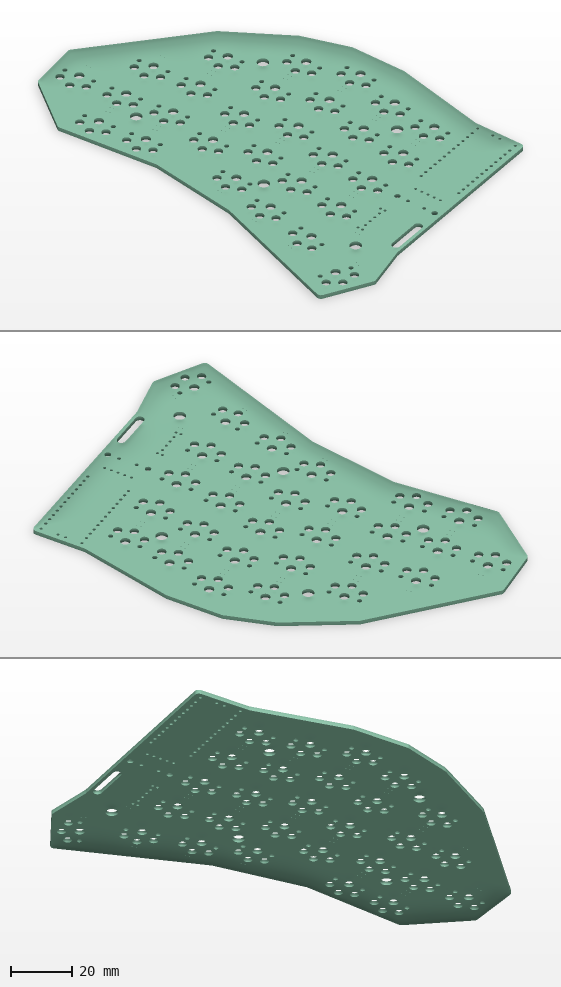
import cadquery as cq
import math


length = 152.4
width = 111.0
thickness = 1.5
corner_radius = 1.5
left_rounding = 0.05
right_rounding = 0.08
bottom_rounding = 0.35

left_tip = -length / 2 - left_rounding
right_tip = length / 2 + right_rounding
top_edge = width / 2
lowest_point = -width / 2 - bottom_rounding
controller_edge_x = 73.2
controller_edge_y = 47.5

outline = [
    (-2.7, top_edge),
    (18.3, top_edge),
    (53.2, controller_edge_y),
    (controller_edge_x, controller_edge_y),
    (controller_edge_x, -22.3),
    (right_tip, -38.5),
    (66.3, lowest_point),
    (15.9, -37.2),
    (-17.4, -32.0),
    (-55.0, -35.4),
    (-74.7, -20.0),
    (left_tip, -0.8),
    (-43.3, 36.0),
    (-20.3, 50.0),
]

stem_diameter = 3.4
clip_diameter = 1.7
clip_offset = 5.5
contact_diameter = 3.0
side_contact = (5.0, -3.8)
lower_contact_drop = 6.0

via_diameter = 0.3
via_spacing = 1.5
diode_below = -9.0
diode_above = 5.6

column_pitch = 18.0
five_key_span = 68.0
row_pitch = five_key_span / 4

straight_column_x = -10.4
straight_columns = [(40.4, 4), (45.9, 5), (40.4, 5), (37.8, 4)]

fan_angle = 5.0
fan_corner = (-32.6, 27.5)
fan_columns = [(0, 4), (1, 3), (2, 1)]

inner_thumb = (45.5, -32.2)
inner_thumb_angle = -15.0
outer_thumb = (63.1, -42.5)
outer_thumb_angle = 60.0
outer_thumb_diode = (66.3, -34.9)
spare_diode = (56.8, -22.1)

controller_x = 63.1
controller_pin_diameter = 1.1
small_pin_diameter = 1.0
controller_row_spacing = 15.2
controller_pins = 12
controller_top_y = 42.5
controller_bottom_y = 14.6
header_y = 45.5
battery_pin_x = (61.5, 64.5)

display_pins = 5
display_span = 10.0
display_y = 8.1

button_y = 1.5
button_peg_diameter = 2.1
button_peg_spacing = 15.1
button_pin_diameter = 1.3
button_pin_spacing = 6.5

jack_x = 56.2
jack_pins = 4
jack_top_y = -9.3
jack_bottom_y = -16.9
jack_end_y = (-7.0, -19.4)
jack_end_x = (55.0, 56.8)

slot_center = (70.4, -13.3)
slot_length = 15.2
slot_width = 3.0

screw_diameter = 4.1
screw_points = [(-21.5, 31.7), (34.6, 29.5), (-37.8, -15.7), (16.6, -19.2), (60.0, -27.5)]


def place(origin, angle, offset):
    """Point at a local offset from an origin, in a frame turned by an angle in degrees."""
    turn = math.radians(angle)
    x = origin[0] + offset[0] * math.cos(turn) - offset[1] * math.sin(turn)
    y = origin[1] + offset[0] * math.sin(turn) + offset[1] * math.cos(turn)
    return (x, y)


def evenly_spaced(first, last, count):
    """Equally stepped values from first to last, both included."""
    step = (last - first) / (count - 1)
    return [first + i * step for i in range(count)]


def mirrored(center, spacing):
    """Two values a given distance apart, either side of a center."""
    return (center - spacing / 2, center + spacing / 2)


def drill(body, diameter, points):
    """Round holes through the full thickness, at points measured from the board's middle."""
    return body.faces(">Z").workplane(origin=(0, 0, 0)).pushPoints(points).hole(diameter)


def make_board():
    board = cq.Workplane("XY").polyline(outline).close().extrude(thickness / 2, both=True)
    return board.edges("|Z").fillet(corner_radius)


def list_column(top, angle, count, diode_sides):
    """Keys down one column as (center, angle, diode offset); the diodes alternate sides."""
    return [
        (place(top, angle, (0, -row * row_pitch)), angle, diode_sides[row % 2])
        for row in range(count)
    ]


def list_keys():
    keys = []
    for i, (top_y, count) in enumerate(straight_columns):
        top = (straight_column_x + i * column_pitch, top_y)
        keys += list_column(top, 0, count, (diode_below, diode_above))
    for i, (first_row, count) in enumerate(fan_columns):
        top = place(fan_corner, fan_angle, (-i * column_pitch, -first_row * row_pitch))
        sides = (diode_below, diode_above) if i == 0 else (diode_above, diode_below)
        keys += list_column(top, fan_angle, count, sides)
    keys.append((inner_thumb, inner_thumb_angle, diode_below))
    keys.append((outer_thumb, outer_thumb_angle, None))
    return keys


def list_vias(center, angle):
    return [place(center, angle, (x, 0)) for x in mirrored(0, via_spacing)]


def drill_keys(board, keys):
    side_x, side_y = side_contact
    contact_offsets = [(-side_x, side_y), (side_x, side_y), (0, -lower_contact_drop)]
    clip_offsets = [(-clip_offset, 0), (clip_offset, 0)]
    stems = [center for center, _, _ in keys]
    clips = [place(center, angle, offset) for center, angle, _ in keys for offset in clip_offsets]
    contacts = [place(center, angle, offset) for center, angle, _ in keys for offset in contact_offsets]
    board = drill(board, stem_diameter, stems)
    board = drill(board, clip_diameter, clips)
    return drill(board, contact_diameter, contacts)


def drill_diodes(board, keys):
    vias = list_vias(outer_thumb_diode, outer_thumb_angle - 90) + list_vias(spare_diode, 0)
    for center, angle, diode_offset in keys:
        if diode_offset is not None:
            vias += list_vias(place(center, angle, (0, diode_offset)), angle)
    return drill(board, via_diameter, vias)


def drill_controller(board):
    pin_y = evenly_spaced(controller_top_y, controller_bottom_y, controller_pins)
    return drill(board, controller_pin_diameter, [(x, y) for x in controller_rows for y in pin_y])


def drill_small_pins(board):
    """Pins of the header above the controller, the display and the jack."""
    pins = [(x, header_y) for x in controller_rows + battery_pin_x]
    display_ends = mirrored(controller_x, display_span)
    pins += [(x, display_y) for x in evenly_spaced(*display_ends, display_pins)]
    pins += [(jack_x, y) for y in evenly_spaced(jack_top_y, jack_bottom_y, jack_pins)]
    pins += [(x, y) for x in jack_end_x for y in jack_end_y]
    return drill(board, small_pin_diameter, pins)


def drill_button(board):
    pins = [(x, button_y) for x in mirrored(controller_x, button_pin_spacing)]
    pegs = [(x, button_y) for x in mirrored(controller_x, button_peg_spacing)]
    board = drill(board, button_pin_diameter, pins)
    return drill(board, button_peg_diameter, pegs)


def cut_slot(board):
    slot = cq.Workplane("XY").center(*slot_center).slot2D(slot_length, slot_width, 90)
    return board.cut(slot.extrude(thickness, both=True))


key_list = list_keys()
controller_rows = mirrored(controller_x, controller_row_spacing)

result = make_board()
result = drill_keys(result, key_list)
result = drill_diodes(result, key_list)
result = drill_controller(result)
result = drill_small_pins(result)
result = drill_button(result)
result = cut_slot(result)
result = drill(result, screw_diameter, screw_points)